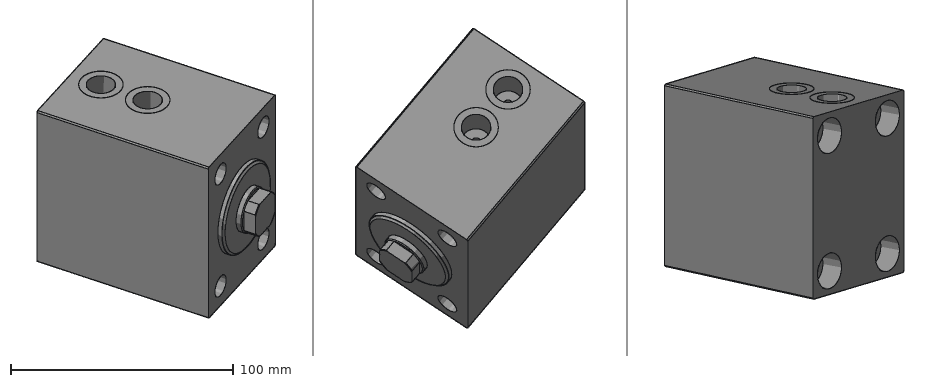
import cadquery as cq

block_length = 88.0
block_width = 63.0
block_height = 85.0
edge_chamfer = 0.7

mount_spacing_y = 40.0
mount_spacing_z = 63.0
mount_diameter = 10.5
mount_head_diameter = 16.5
mount_head_depth = 11.0

port_first_x = 15.6
port_spacing = 24.0
port_count = 2
port_face_diameter = 20.0
port_face_depth = 0.1
port_diameter = 13.2
port_depth = 14.0
feed_diameter = 4.0

gland_diameter = 45.0
gland_flange_thickness = 2.0
gland_step = 0.3
gland_lip_diameter = gland_diameter - 2 * gland_step
gland_chamfer = 1.0
gland_thickness = gland_flange_thickness + gland_chamfer

rod_diameter = 22.0
rod_start_x = 10.0
rod_shoulder_length = 6.0
rod_overhang = 12.0
rod_shoulder_x = block_length + rod_shoulder_length
rod_end_x = block_length + rod_overhang
rod_chamfer = 0.5
tip_diameter = rod_diameter - 2 * rod_chamfer
tip_chamfer = 0.3
tip_across_flats = 18.0


def x_cylinder(diameter, start_x, end_x):
    """Cylinder on the X axis."""
    return cq.Workplane("YZ", origin=(start_x, 0, 0)).circle(diameter / 2).extrude(end_x - start_x)


def z_cylinder(diameter, x, bottom_z, top_z):
    """Upright cylinder over the X axis."""
    return cq.Workplane("XY", origin=(x, 0, bottom_z)).circle(diameter / 2).extrude(top_z - bottom_z)


def make_port(x):
    """Cutter for one port: shallow sealing face, threaded bore and feed hole down to the rod bore."""
    top_z = block_height / 2
    sealing_face = z_cylinder(port_face_diameter, x, top_z - port_face_depth, top_z)
    threaded_bore = z_cylinder(port_diameter, x, top_z - port_depth, top_z)
    feed_hole = z_cylinder(feed_diameter, x, 0, top_z)
    return sealing_face.union(threaded_bore).union(feed_hole)


def make_block():
    """Chamfered block with its mounting holes, oil ports and rod bore."""
    block = (
        cq.Workplane("XY")
        .box(block_length, block_width, block_height, centered=(False, True, True))
        .edges("|X")
        .chamfer(edge_chamfer)
    )
    block = (
        block.faces("<X")
        .workplane(origin=(0, 0, 0))
        .rarray(mount_spacing_y, mount_spacing_z, 2, 2)
        .cboreHole(mount_diameter, mount_head_diameter, mount_head_depth)
    )
    for index in range(port_count):
        block = block.cut(make_port(port_first_x + index * port_spacing))
    return block.cut(x_cylinder(rod_diameter, rod_start_x, block_length))


def make_gland():
    """Ring revolved about the X axis: a flange, a small step and a bevelled lip."""
    flange_end_x = block_length + gland_flange_thickness
    gland_end_x = block_length + gland_thickness
    return (
        cq.Workplane("XZ")
        .moveTo(block_length, rod_diameter / 2)
        .lineTo(block_length, gland_diameter / 2)
        .lineTo(flange_end_x, gland_diameter / 2)
        .lineTo(flange_end_x, gland_lip_diameter / 2)
        .lineTo(gland_end_x, gland_lip_diameter / 2 - gland_chamfer)
        .lineTo(gland_end_x, rod_diameter / 2)
        .close()
        .revolve(360, (0, 0, 0), (1, 0, 0))
    )


def make_rod():
    """Round rod with a shoulder and a tip that carries four wrench flats."""
    shank = x_cylinder(rod_diameter, rod_start_x, rod_shoulder_x).faces(">X").edges().chamfer(rod_chamfer)
    tip = x_cylinder(tip_diameter, rod_shoulder_x, rod_end_x).faces(">X").edges().chamfer(tip_chamfer)
    square = (
        cq.Workplane("YZ", origin=(rod_shoulder_x, 0, 0))
        .rect(tip_across_flats, tip_across_flats)
        .extrude(rod_end_x - rod_shoulder_x)
    )
    return shank.union(tip.intersect(square))


block = make_block()
gland = make_gland()
rod = make_rod()

result = cq.Compound.makeCompound([block.val(), gland.val(), rod.val()])